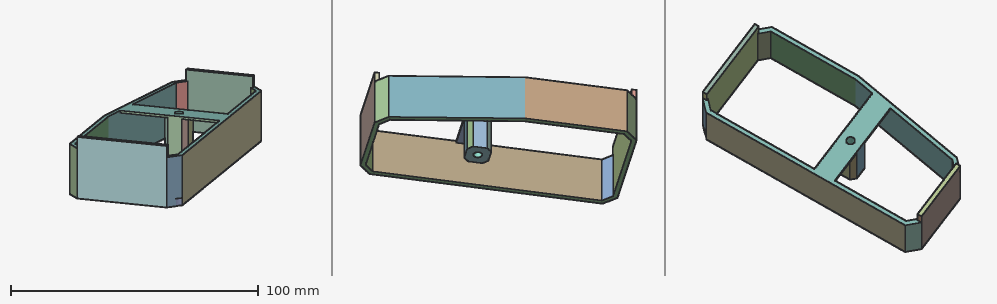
import cadquery as cq
import math

length = 106
width = 48.2
frame_height = 21.2
end_height = 26.0
wall = 2.0

taper_start_y = 47.0
taper_end_x = 10.2
front_chamfer = 5.0
back_chamfer = 4.8

beam_center_x = 27.1
beam_center_y = 61.0
beam_width = 10.0
beam_thickness = 1.0
post_chamfer = 2.0
hole_diameter = 3.5

notch_height = 3.2
notch_radius = 4.9
notch_reach = wall

front_x_range = (front_chamfer, width - front_chamfer)
back_x_range = (taper_end_x + back_chamfer, width - back_chamfer)
beam_y_range = (beam_center_y - beam_width / 2, beam_center_y + beam_width / 2)

outline_points = [
    (front_x_range[0], 0),
    (front_x_range[1], 0),
    (width, front_chamfer),
    (width, length - back_chamfer),
    (back_x_range[1], length),
    (back_x_range[0], length),
    (taper_end_x, length - back_chamfer),
    (0, taper_start_y),
    (0, front_chamfer),
]


def block(x_range, y_range, z_range):
    """Box spanning the given ranges."""
    ranges = (x_range, y_range, z_range)
    size = [high - low for low, high in ranges]
    corner = tuple(low for low, high in ranges)
    return cq.Workplane("XY").box(*size, centered=False).translate(corner)


def frame_outline():
    """Closed outer outline of the frame at Z = 0."""
    return cq.Workplane("XY").polyline(outline_points).close()


def post():
    """Square post with chamfered corners, centred on the beam hole."""
    return (
        cq.Workplane("XY")
        .center(beam_center_x, beam_center_y)
        .rect(beam_width, beam_width)
        .extrude(frame_height)
        .edges("|Z")
        .chamfer(post_chamfer)
    )


def cylinder(center_x, center_y, radius, height):
    """Upright cylinder standing on Z = 0."""
    return cq.Workplane("XY").center(center_x, center_y).circle(radius).extrude(height)


def corner_notch():
    """Cylinder whose edge bites the chamfer from its high X corner inwards."""
    half_chord = math.hypot(notch_reach, notch_reach) / 2
    center_distance = math.sqrt(notch_radius**2 - half_chord**2)
    outward = center_distance / math.sqrt(2)
    center_x = width - notch_reach / 2 + outward
    center_y = front_chamfer - notch_reach / 2 - outward
    return cylinder(center_x, center_y, notch_radius, notch_height)


envelope = frame_outline().extrude(frame_height)
cavity = frame_outline().offset2D(-wall, "intersection").extrude(frame_height)
frame = envelope.cut(cavity)

front_wall = block(front_x_range, (0, wall), (0, end_height))
back_wall = block(back_x_range, (length - wall, length), (0, end_height))

beam = block((0, width), beam_y_range, (frame_height - beam_thickness, frame_height))
beam = beam.intersect(envelope)

hole = cylinder(beam_center_x, beam_center_y, hole_diameter / 2, frame_height)

result = frame.union(front_wall).union(back_wall).union(beam).union(post())
result = result.cut(hole).cut(corner_notch())